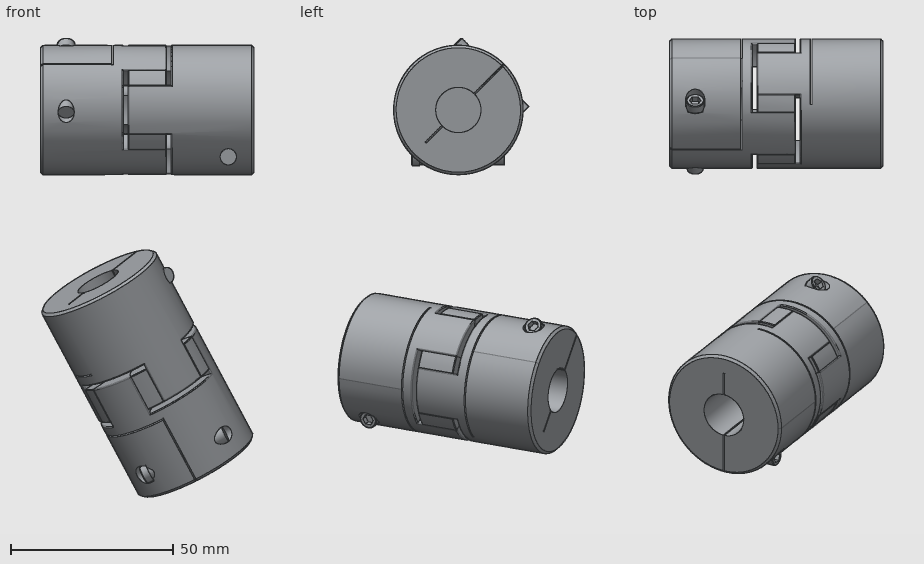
import cadquery as cq
import math


length = 66.0
outer_radius = 20.0
bore_radius = 7.0
end_chamfer = 0.8
middle_x = length / 2
tolerance = 0.005

hub_base = 25.6
spider_thickness = 11.9
hub_tip = middle_x + spider_thickness / 2
jaw_count = 3
jaw_pitch = 360 / jaw_count
jaw_inner_radius = 12.2
jaw_flank_radius = 12.9
jaw_edge_fillet = 0.3
spider_end_chamfer = 0.25

slit_width = 0.45
slit_depth = 14.25
cross_cut_start = 22.05
cross_cut_end = cross_cut_start + slit_width

screw_x = 8.0
shank_radius = 2.5
head_radius = 2.8
head_chamfer = 0.25
counterbore_radius = 3.05
counterbore_floor = 12.0
socket_across_corners = 3.5
socket_sides = 6
socket_depth = 2.0

left_hub_turn = 45
left_jaw_angle = 0
left_screw_offset = 13.65
left_head_reach = 15.1
left_tip_reach = 14.65
right_jaw_angle = jaw_pitch / 2
right_screw_offset = 14.45
right_head_reach = 14.4
right_tip_reach = 14.2


def disc(x_start, x_end, radius):
    return cq.Workplane("YZ", origin=(x_start, 0, 0)).circle(radius).extrude(x_end - x_start)


def y_cylinder(y_start, y_end, radius, offset):
    """Cylinder along the screw axis, at height `offset`."""
    plane = cq.Plane(origin=(screw_x, y_start, offset), xDir=(1, 0, 0), normal=(0, 1, 0))
    return cq.Workplane(plane).circle(radius).extrude(y_end - y_start)


def jaw_gaps(x_start, x_end, jaw_angle):
    """Everything a jaw ring leaves free: the round middle and the three spaces between the jaws."""
    gaps = disc(x_start, x_end, jaw_inner_radius)
    for number in range(jaw_count):
        angle = math.radians(jaw_angle + jaw_pitch * (number + 0.5))
        centre = (0, outer_radius * math.cos(angle), outer_radius * math.sin(angle))
        gaps = gaps.union(disc(x_start, x_end, jaw_flank_radius).translate(centre))
    return gaps


def is_jaw_rim(edge):
    """True for the edges that run around the jaws and their spaces on the outer surface."""
    ends_on_rim = all(
        abs(math.hypot(p.y, p.z) - outer_radius) < tolerance for p in (edge.startPoint(), edge.endPoint())
    )
    return ends_on_rim and edge.Center().x > hub_base - tolerance


def jawed_body(jaw_angle):
    body = disc(0, hub_tip, outer_radius).faces("<X").chamfer(end_chamfer)
    body = body.cut(jaw_gaps(hub_base, hub_tip, jaw_angle))
    rim = [edge for edge in body.edges().vals() if is_jaw_rim(edge)]
    body = body.newObject(rim).fillet(jaw_edge_fillet)
    return body.cut(disc(0, hub_base, bore_radius))


def cut_clamp(body):
    slit_height = outer_radius + slit_depth
    slit = cq.Workplane("XY").box(cross_cut_end, slit_width, slit_height, centered=(False, True, False))
    cross_cut = cq.Workplane("XY").box(
        slit_width, outer_radius + slit_width / 2, 2 * outer_radius, centered=(False, False, True)
    )
    body = body.cut(slit.translate((0, 0, -slit_depth)))
    return body.cut(cross_cut.translate((cross_cut_start, -slit_width / 2, 0)))


def add_screw(body, offset, head_reach, tip_reach):
    """Drill the counterbored screw hole and fill it with the screw, which is part of the hub."""
    body = body.cut(y_cylinder(-outer_radius, counterbore_floor, shank_radius, offset))
    body = body.cut(y_cylinder(counterbore_floor, outer_radius, counterbore_radius, offset))
    shank = y_cylinder(-tip_reach, counterbore_floor, shank_radius, offset)
    head = y_cylinder(counterbore_floor, head_reach, head_radius, offset)
    head = head.faces(">Y").chamfer(head_chamfer)
    socket_plane = cq.Plane(origin=(screw_x, head_reach, offset), xDir=(1, 0, 0), normal=(0, 1, 0))
    socket = cq.Workplane(socket_plane).polygon(socket_sides, socket_across_corners).extrude(-socket_depth)
    return body.union(shank).union(head.cut(socket))


def make_hub(jaw_angle, screw_offset, head_reach, tip_reach):
    return add_screw(cut_clamp(jawed_body(jaw_angle)), screw_offset, head_reach, tip_reach)


def make_spider():
    start = length - hub_tip
    left_free = jaw_gaps(start, hub_tip, left_jaw_angle)
    right_free = jaw_gaps(start, hub_tip, right_jaw_angle)
    blank = disc(start, hub_tip, outer_radius).faces("<X or >X").chamfer(spider_end_chamfer)
    return blank.intersect(left_free).intersect(right_free)


left_hub = make_hub(left_jaw_angle - left_hub_turn, left_screw_offset, left_head_reach, left_tip_reach)
left_hub = left_hub.rotate((0, 0, 0), (1, 0, 0), left_hub_turn)

right_hub = make_hub(right_jaw_angle, right_screw_offset, right_head_reach, right_tip_reach)
right_hub = right_hub.rotate((middle_x, 0, 0), (middle_x, 1, 0), 180)

spider = make_spider()

result = cq.Compound.makeCompound([left_hub.solids().val(), right_hub.solids().val(), spider.solids().val()])